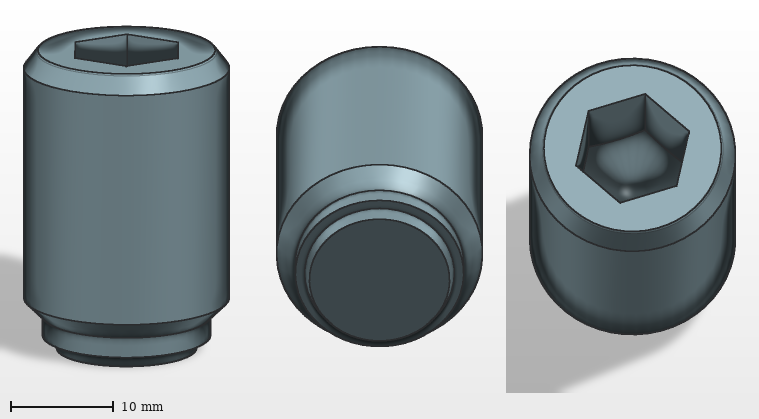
import cadquery as cq
import math

total_height = 30.0
body_diameter = total_height * 2 / 3
body_radius = body_diameter / 2

ball_radius = 7.5
ball_center_z = 3.15

body_bottom_z = 1.3
collar_top_z = 3.27
lower_chamfer = 1.83
collar_radius = body_radius - lower_chamfer
upper_cone_height = 1.8
rim_bevel = 0.15
rim_radius = 8.75
top_face_radius = rim_radius - rim_bevel

hex_across_flats = body_radius
hex_across_corners = hex_across_flats / math.cos(math.radians(30))
socket_depth = 10.0
drill_point_angle = 120.0
drill_radius = hex_across_corners / 2
drill_point_depth = drill_radius / math.tan(math.radians(drill_point_angle / 2))


def make_ball():
    """Ball with its underside cut flat at z = 0."""
    ball = cq.Workplane("XY").sphere(ball_radius).translate((0, 0, ball_center_z))
    keep_size = 2 * total_height
    above_base = cq.Workplane("XY").box(keep_size, keep_size, keep_size, centered=(True, True, False))
    return ball.intersect(above_base)


def make_key_socket():
    """Hexagonal cutter whose lower end follows a drill point."""
    floor_z = total_height - socket_depth
    point_z = floor_z - drill_point_depth
    hexagon = (
        cq.Workplane("XY", origin=(0, 0, point_z))
        .polygon(6, hex_across_corners)
        .extrude(total_height - point_z)
    )
    drill = (
        cq.Workplane("XZ")
        .moveTo(0, point_z)
        .lineTo(drill_radius, floor_z)
        .lineTo(drill_radius, total_height)
        .lineTo(0, total_height)
        .close()
        .revolve(360, (0, 0), (0, 1))
    )
    return hexagon.intersect(drill)


def make_screw_body(ball):
    """Chamfered cylinder with a key socket above and a spherical seat below."""
    blank = (
        cq.Workplane("XZ")
        .moveTo(0, body_bottom_z)
        .lineTo(collar_radius, body_bottom_z)
        .lineTo(collar_radius, collar_top_z)
        .lineTo(body_radius, collar_top_z + lower_chamfer)
        .lineTo(body_radius, total_height - upper_cone_height)
        .lineTo(rim_radius, total_height - rim_bevel)
        .lineTo(top_face_radius, total_height)
        .lineTo(0, total_height)
        .close()
        .revolve(360, (0, 0), (0, 1))
    )
    return blank.cut(make_key_socket()).cut(ball)


ball = make_ball()
screw_body = make_screw_body(ball)

result = cq.Compound.makeCompound([screw_body.val(), ball.val()])